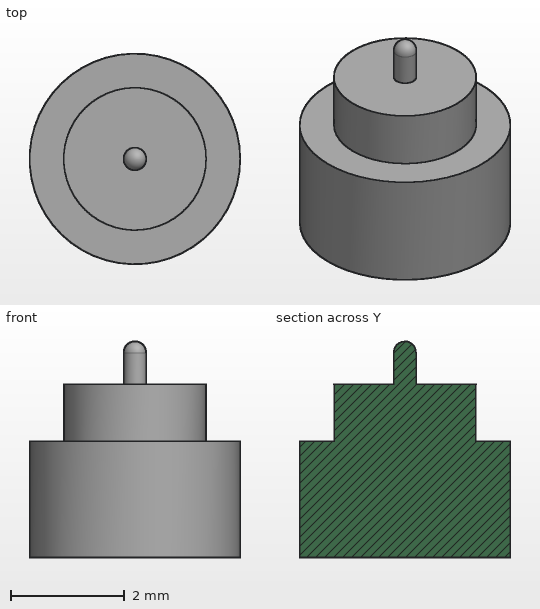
import cadquery as cq

total_height = 3.8
base_diameter = 3.7
base_height = 2.05
collar_diameter = 2.5
collar_height = 1.0
pin_diameter = 0.4

pin_radius = pin_diameter / 2
collar_top = base_height + collar_height
dome_start = total_height - pin_radius

profile = (
    cq.Workplane("XZ")
    .moveTo(0, 0)
    .lineTo(base_diameter / 2, 0)
    .lineTo(base_diameter / 2, base_height)
    .lineTo(collar_diameter / 2, base_height)
    .lineTo(collar_diameter / 2, collar_top)
    .lineTo(pin_radius, collar_top)
    .lineTo(pin_radius, dome_start)
    .radiusArc((0, total_height), -pin_radius)
    .close()
)

result = profile.revolve(360, (0, 0, 0), (0, 1, 0))